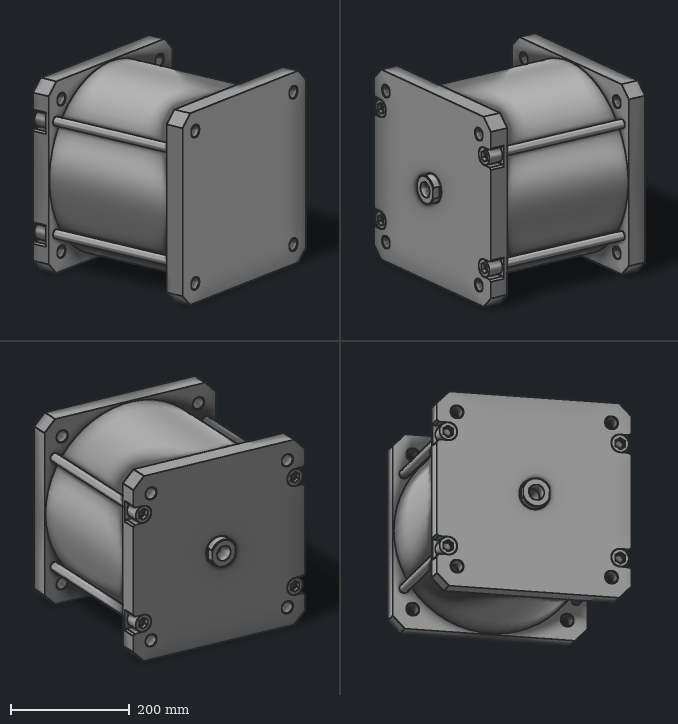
import cadquery as cq
import math

cover_side = 340.0
cover_thickness = 34.0
cover_corner_cut = 21.0
overall_cover_length = 320.0
barrel_radius = 168.0
rear_cover_start = overall_cover_length - cover_thickness
barrel_length = rear_cover_start - cover_thickness

mount_hole_diameter = 21.0
mount_hole_chamfer = 1.0
mount_hole_offset = 135.0

tie_offset_y = 150.3
tie_offset_z = 100.0
tie_rod_diameter = 16.0
tie_head_diameter = 30.5
tie_head_length = 27.2
hex_across_flats = 17.0
hex_depth = 8.5
socket_floor_diameter = 14.5
socket_floor_depth = 1.7
tie_rod_centers = [(y, z) for y in (-tie_offset_y, tie_offset_y) for z in (-tie_offset_z, tie_offset_z)]

pocket_width = 31.5
pocket_mouth_chamfer = 3.5

rod_diameter = 50.0
rod_tip_chamfer = 1.0
rod_across_flats = 46.0
rod_protrusion = 15.0
rod_flat_length = 13.0
rod_bore_chamfer = 1.5
rod_hole_diameter = 27.0
rod_hole_depth = 30.5
drill_tip_angle = 118.0


def yz_plane(x):
    """Sketch plane facing +X, with sketch x along Y and sketch y along Z."""
    return cq.Workplane("YZ", origin=(x, 0, 0))


def cover(x_start):
    """Square end cover with cut corners and four mounting holes chamfered at both ends."""
    plate = (
        yz_plane(x_start)
        .rect(cover_side, cover_side)
        .extrude(cover_thickness)
        .edges("|X")
        .chamfer(cover_corner_cut)
    )
    holes = (
        yz_plane(x_start)
        .rect(2 * mount_hole_offset, 2 * mount_hole_offset, forConstruction=True)
        .vertices()
        .circle(mount_hole_diameter / 2)
        .extrude(cover_thickness)
    )
    return plate.cut(holes).edges("%CIRCLE").chamfer(mount_hole_chamfer)


def head_pocket(y, z):
    """Round-ended pocket that opens through the nearest Y side, with a flared mouth."""
    outward = math.copysign(1, y)
    side = outward * cover_side / 2
    half_width = pocket_width / 2
    flare_start = side - outward * pocket_mouth_chamfer
    flare_half_width = half_width + pocket_mouth_chamfer
    return (
        yz_plane(0)
        .moveTo(y, z + half_width)
        .lineTo(flare_start, z + half_width)
        .lineTo(side, z + flare_half_width)
        .lineTo(side, z - flare_half_width)
        .lineTo(flare_start, z - half_width)
        .lineTo(y, z - half_width)
        .threePointArc((y - outward * half_width, z), (y, z + half_width))
        .close()
        .extrude(tie_head_length)
    )


def front_cover():
    """Cover with the chamfered piston rod bore, the tie rod holes and the head pockets."""
    rod_bore = yz_plane(0).circle(rod_diameter / 2).extrude(cover_thickness)
    body = cover(0).cut(rod_bore)
    bore_rim = body.faces("<X").edges(cq.selectors.RadiusNthSelector(-1))
    body = bore_rim.chamfer(rod_bore_chamfer)
    for y, z in tie_rod_centers:
        body = body.cut(head_pocket(y, z))
    tie_holes = yz_plane(0).pushPoints(tie_rod_centers).circle(tie_rod_diameter / 2).extrude(cover_thickness)
    return body.cut(tie_holes)


def barrel():
    """Plain cylinder between the two covers."""
    return yz_plane(cover_thickness).circle(barrel_radius).extrude(barrel_length)


def piston_rod():
    """Rod end with a chamfered tip, two wrench flats and a drilled hole with a conical bottom."""
    tip = -rod_protrusion
    body = yz_plane(tip).circle(rod_diameter / 2).extrude(rod_protrusion + cover_thickness)
    body = body.faces("<X").chamfer(rod_tip_chamfer)
    flats = (
        yz_plane(tip)
        .rect(2 * rod_diameter, 2 * rod_diameter)
        .rect(rod_across_flats, 2 * rod_diameter)
        .extrude(rod_flat_length)
    )
    hole_radius = rod_hole_diameter / 2
    cone_length = hole_radius / math.tan(math.radians(drill_tip_angle / 2))
    hole = (
        cq.Workplane("XY")
        .moveTo(tip, 0)
        .lineTo(tip, hole_radius)
        .lineTo(tip + rod_hole_depth, hole_radius)
        .lineTo(tip + rod_hole_depth + cone_length, 0)
        .close()
        .revolve(360, (0, 0, 0), (1, 0, 0))
    )
    return body.cut(flats).cut(hole)


def tie_rod(y, z):
    """Tie rod reaching the rear cover, its head holding a hexagon socket with a round floor recess."""
    head = yz_plane(0).center(y, z).circle(tie_head_diameter / 2).extrude(tie_head_length)
    shank = yz_plane(0).center(y, z).circle(tie_rod_diameter / 2).extrude(rear_cover_start)
    socket = (
        yz_plane(0)
        .polygon(6, hex_across_flats, circumscribed=True)
        .extrude(hex_depth)
        .translate((0, y, z))
    )
    floor_recess = (
        yz_plane(hex_depth).center(y, z).circle(socket_floor_diameter / 2).extrude(socket_floor_depth)
    )
    return head.union(shank).cut(socket).cut(floor_recess)


tie_rods = [tie_rod(y, z) for y, z in tie_rod_centers]

result = cq.Compound.makeCompound(
    [
        front_cover().val(),
        cover(rear_cover_start).val(),
        barrel().val(),
        piston_rod().val(),
        *[rod.val() for rod in tie_rods],
    ]
)